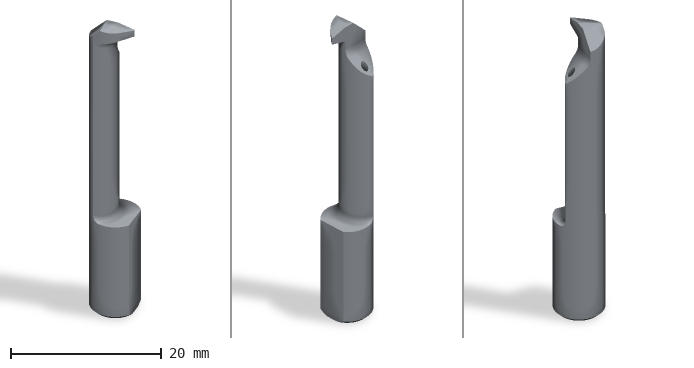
import cadquery as cq
import math

total_height = 45
shank_radius = 3.5
flat_x = 2.85
shoulder_height = 14.7
base_chamfer = 0.55

neck_center_x = -2.7
neck_radius = 3.0
shoulder_fillet = 0.8

rake_y = 0.0
rake_bottom_z = 41.65
rake_blend_mid = (0.157, 40.75)
slope_start = (0.45, 40.3)
slope_end = (2.95, 37.5)

head_front_y = -2.9
head_corner_x = -1.05
head_arc_mid = (0.1, -2.6)
head_arc_end = (1.1, -2.0)
tip_x = 2.75
tip_front_y = -0.22
notch_z = 42.0
underside_z = 42.8
underside_x = 0.35
underside_rise_x = 0.27
underside_rise_y = -0.14

relief_y = -1.1
relief_start_z = 41.9
relief_lean = 0.26

bevel_low_z = 42.75
bevel_top_x = -1.2
bevel_top_front_x = -1.05
top_crease_x = 0.4
top_crease_front_x = -0.95
top_fall_rate = 0.26

hole_diameter = 1.0
hole_x = -1.5
hole_y = 1.8

oversize = 4 * shank_radius
extent = 3 * total_height


def column(radius, center_x, bottom, top):
    """Vertical cylinder between two heights."""
    return cq.Workplane("XY", origin=(center_x, 0, bottom)).circle(radius).extrude(top - bottom)


def half_space(point, normal):
    """Large box lying on the side of a plane that its normal points to."""
    plane = cq.Plane(origin=point, normal=normal)
    return cq.Workplane(plane).rect(extent, extent).extrude(extent)


def make_shank():
    shank = column(shank_radius, 0, 0, total_height).faces("<Z").chamfer(base_chamfer)
    return shank.cut(half_space((flat_x, 0, 0), (1, 0, 0)))


def make_neck_envelope():
    """Revolved neck that flares into the shoulder; everything below the shoulder is kept."""
    blend_mid = shoulder_fillet * (1 - math.sqrt(0.5))
    return (
        cq.Workplane("XZ", origin=(neck_center_x, 0, 0))
        .lineTo(oversize, 0)
        .lineTo(oversize, shoulder_height)
        .lineTo(neck_radius + shoulder_fillet, shoulder_height)
        .threePointArc(
            (neck_radius + blend_mid, shoulder_height + blend_mid),
            (neck_radius, shoulder_height + shoulder_fillet),
        )
        .lineTo(neck_radius, total_height)
        .lineTo(0, total_height)
        .close()
        .revolve(360, (0, 0, 0), (0, 1, 0))
    )


def make_head():
    head = (
        cq.Workplane("XY", origin=(0, 0, shoulder_height))
        .moveTo(-shank_radius, rake_y)
        .lineTo(-shank_radius, head_front_y)
        .lineTo(head_corner_x, head_front_y)
        .threePointArc(head_arc_mid, head_arc_end)
        .lineTo(tip_x, tip_front_y)
        .lineTo(tip_x, rake_y)
        .close()
        .extrude(total_height - shoulder_height)
    )
    below = half_space((underside_x, 0, underside_z), (underside_rise_x, underside_rise_y, -1))
    return head.cut(below).intersect(column(shank_radius, 0, shoulder_height, total_height))


def make_corner_notch():
    """Continues the flat front of the head a little way down the neck corner."""
    return (
        cq.Workplane("XY", origin=(0, head_front_y - oversize / 2, notch_z))
        .rect(oversize, oversize)
        .extrude(total_height - notch_z)
    )


def make_relief_cut():
    """Plane that touches the neck at its lower end and leans inward as it rises."""
    touch_angle = math.asin(relief_y / neck_radius)
    outward = (math.cos(touch_angle), math.sin(touch_angle))
    touch_point = (neck_center_x + neck_radius * outward[0], relief_y, relief_start_z)
    return half_space(touch_point, (*outward, relief_lean))


def make_rake_cut():
    """Removes everything behind the rake face and above the sloping back."""
    return (
        cq.Workplane("YZ", origin=(-oversize, 0, 0))
        .moveTo(rake_y, total_height)
        .lineTo(rake_y, rake_bottom_z)
        .threePointArc(rake_blend_mid, slope_start)
        .lineTo(*slope_end)
        .lineTo(oversize, slope_end[1])
        .lineTo(oversize, total_height)
        .close()
        .extrude(2 * oversize)
    )


def make_bevel_cut():
    """Sloping plane on the back of the head, through its edge along the top."""
    along_edge = cq.Vector(bevel_top_front_x - bevel_top_x, head_front_y, 0)
    down_slope = cq.Vector(-shank_radius - bevel_top_x, 0, bevel_low_z - total_height)
    return half_space((bevel_top_x, 0, total_height), along_edge.cross(down_slope) * -1)


def make_top_cut():
    """Plane that falls away from the crease on the top toward the tip."""
    crease = cq.Vector(top_crease_front_x - top_crease_x, head_front_y, 0).normalized()
    return half_space(
        (top_crease_x, 0, total_height),
        (-crease.y * top_fall_rate, crease.x * top_fall_rate, 1),
    )


def make_coolant_hole():
    return column(hole_diameter / 2, hole_x, 0, total_height).translate((0, hole_y, 0))


result = (
    make_shank()
    .intersect(make_neck_envelope())
    .cut(make_corner_notch())
    .cut(make_relief_cut())
    .union(make_head())
    .cut(make_rake_cut())
    .cut(make_bevel_cut())
    .cut(make_top_cut())
    .cut(make_coolant_hole())
)